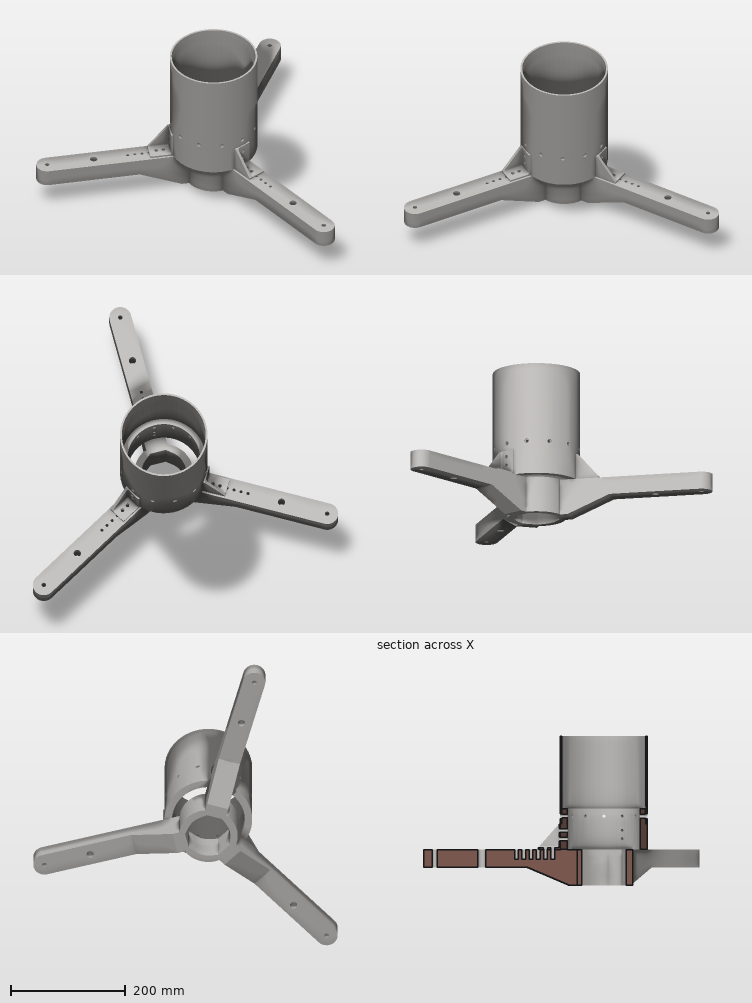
import cadquery as cq
import math

total_height = 260.5
total_width = 549.5
leg_angles = (90, 210, 330)

leg_width = 38.5
leg_end_radius = leg_width / 2
tip_hole_reach = (total_width / 2 - leg_end_radius) / math.cos(math.radians(30))
leg_inner_reach = 46.5
leg_top = 62.5
leg_thickness = 31.0
leg_bottom = leg_top - leg_thickness
taper_inner_reach = 60.0
taper_outer_reach = 134.5
tip_hole_diameter = 7.5
middle_hole_diameter = 12.5
middle_hole_reach = 212.5
screw_hole_diameter = 5.4
screw_hole_first_reach = 89.0
screw_hole_pitch = 12.5
screw_hole_count = 6
screw_hole_depth = 16.5

hub_outer_radius = 51.0
hub_inner_radius = 38.5
seat_corner_radius = 19.0
bore_flat_width = 27.5

tube_diameter = 153.0
tube_bore = 146.0
tube_bottom = 107.5

coupler_bore = 127.0
coupler_spigot_top = 134.0
tube_hole_diameter = 7.5
coupler_hole_diameter = 5.4
fixing_hole_count = 12
fixing_hole_height = (tube_bottom + coupler_spigot_top) / 2

bracket_width = 32.0
bracket_outer_reach = 115.0
bracket_height = tube_bottom - leg_top
base_thickness = 3.5
flange_face_reach = 78.0
rib_thickness = 5.0
corner_radius = 3.5
bracket_hole_diameter = 6.5
base_hole_reaches = [screw_hole_first_reach + i * screw_hole_pitch for i in range(2)]
flange_hole_heights = (81.5, 96.0)


def cylinder(diameter, bottom, top, x=0.0):
    """Upright cylinder between two heights, centred at (x, 0)."""
    return cq.Workplane("XY", origin=(x, 0, bottom)).circle(diameter / 2).extrude(top - bottom)


def radial_cylinder(diameter, start, end, z):
    """Cylinder along +X between two distances from the main axis."""
    return cq.Workplane("YZ", origin=(start, 0, z)).circle(diameter / 2).extrude(end - start)


def turned(body, angle):
    """Copy of a body turned about the main axis."""
    return body.rotate((0, 0, 0), (0, 0, 1), angle)


def make_leg():
    """Leg pointing along +X: round tip, tapered underside, holes along its centre line."""
    plan = (
        cq.Workplane("XY")
        .moveTo(leg_inner_reach, -leg_width / 2)
        .lineTo(tip_hole_reach, -leg_width / 2)
        .threePointArc((tip_hole_reach + leg_end_radius, 0), (tip_hole_reach, leg_width / 2))
        .lineTo(leg_inner_reach, leg_width / 2)
        .close()
        .extrude(leg_top)
    )
    side_profile = [
        (leg_inner_reach, 0),
        (taper_inner_reach, 0),
        (taper_outer_reach, leg_bottom),
        (total_width, leg_bottom),
        (total_width, leg_top),
        (leg_inner_reach, leg_top),
    ]
    side = cq.Workplane("XZ").polyline(side_profile).close().extrude(leg_width, both=True)
    leg = plan.intersect(side)
    leg = leg.cut(cylinder(tip_hole_diameter, 0, leg_top, tip_hole_reach))
    leg = leg.cut(cylinder(middle_hole_diameter, 0, leg_top, middle_hole_reach))
    for i in range(screw_hole_count):
        reach = screw_hole_first_reach + i * screw_hole_pitch
        leg = leg.cut(cylinder(screw_hole_diameter, leg_top - screw_hole_depth, leg_top, reach))
    return leg


def make_bore_flat():
    """Prism along +X that widens the hub bore to a flat whose ends run tangent into the bore."""
    corner = (hub_inner_radius, bore_flat_width / 2)
    tangent_angle = 2 * math.atan2(corner[1], corner[0])
    tangent_x = hub_inner_radius * math.cos(tangent_angle)
    tangent_y = hub_inner_radius * math.sin(tangent_angle)
    outline = [
        (0, 0),
        (tangent_x, -tangent_y),
        (corner[0], -corner[1]),
        corner,
        (tangent_x, tangent_y),
    ]
    return cq.Workplane("XY").polyline(outline).close().extrude(leg_top)


def make_hub():
    """Short centre tube with a rounded flat seat for the inner end of each leg."""
    hub = cylinder(2 * hub_outer_radius, 0, leg_top)
    seat_cut = cq.Workplane("XY", origin=(leg_inner_reach, 0, 0)).box(
        leg_width, 2 * hub_outer_radius, leg_top, centered=(False, True, False)
    )
    for angle in leg_angles:
        hub = hub.cut(turned(seat_cut, angle))
    hub = hub.edges("|Z").fillet(seat_corner_radius)
    hub = hub.cut(cylinder(2 * hub_inner_radius, 0, leg_top))
    for angle in leg_angles:
        hub = hub.cut(turned(make_bore_flat(), angle))
    return hub


def cut_fixing_holes(body, diameter):
    """Ring of radial screw holes at the level where the tube overlaps the coupler spigot."""
    hole = radial_cylinder(diameter, 0, tube_diameter, fixing_hole_height)
    for i in range(fixing_hole_count):
        body = body.cut(turned(hole, i * 360 / fixing_hole_count))
    return body


def make_tube():
    """Plain tube with a ring of screw holes near its lower end."""
    tube = cylinder(tube_diameter, tube_bottom, total_height)
    tube = tube.cut(cylinder(tube_bore, tube_bottom, total_height))
    return cut_fixing_holes(tube, tube_hole_diameter)


def make_coupler():
    """Ring on top of the legs with a spigot inside the tube."""
    coupler = cylinder(tube_diameter, leg_top, tube_bottom)
    coupler = coupler.union(cylinder(tube_bore, tube_bottom, coupler_spigot_top))
    coupler = coupler.cut(cylinder(coupler_bore, leg_top, coupler_spigot_top))
    coupler = cut_fixing_holes(coupler, coupler_hole_diameter)
    for angle in leg_angles:
        for z in flange_hole_heights:
            hole = radial_cylinder(coupler_hole_diameter, 0, tube_diameter, z)
            coupler = coupler.cut(turned(hole, angle))
    return coupler


def make_bracket():
    """Angle bracket along +X: base on the leg, flange against the coupler, rib on the -Y side."""
    half = bracket_width / 2
    base_top = leg_top + base_thickness
    bracket = (
        cq.Workplane("XZ", origin=(0, half, 0))
        .polyline([
            (0, leg_top),
            (bracket_outer_reach, leg_top),
            (bracket_outer_reach, base_top),
            (flange_face_reach, tube_bottom),
            (0, tube_bottom),
        ])
        .close()
        .extrude(bracket_width)
    )
    pocket = (
        cq.Workplane("XY")
        .box(bracket_outer_reach, bracket_width, bracket_height, centered=False)
        .translate((flange_face_reach, rib_thickness - half, base_top))
    )
    pocket = pocket.edges("(<X and <Y) or (<X and <Z) or (<Y and <Z)").fillet(corner_radius)
    bracket = bracket.cut(pocket).cut(cylinder(tube_diameter, leg_top, tube_bottom))
    for reach in base_hole_reaches:
        bracket = bracket.cut(cylinder(bracket_hole_diameter, leg_top, tube_bottom, reach))
    for z in flange_hole_heights:
        bracket = bracket.cut(radial_cylinder(bracket_hole_diameter, 0, bracket_outer_reach, z))
    return bracket


legs = [turned(make_leg(), angle) for angle in leg_angles]
brackets = [turned(make_bracket(), angle) for angle in leg_angles]
hub = make_hub()
tube = make_tube()
coupler = make_coupler()
result = cq.Compound.makeCompound(
    [hub.val(), tube.val(), coupler.val()] + [body.val() for body in legs + brackets]
)